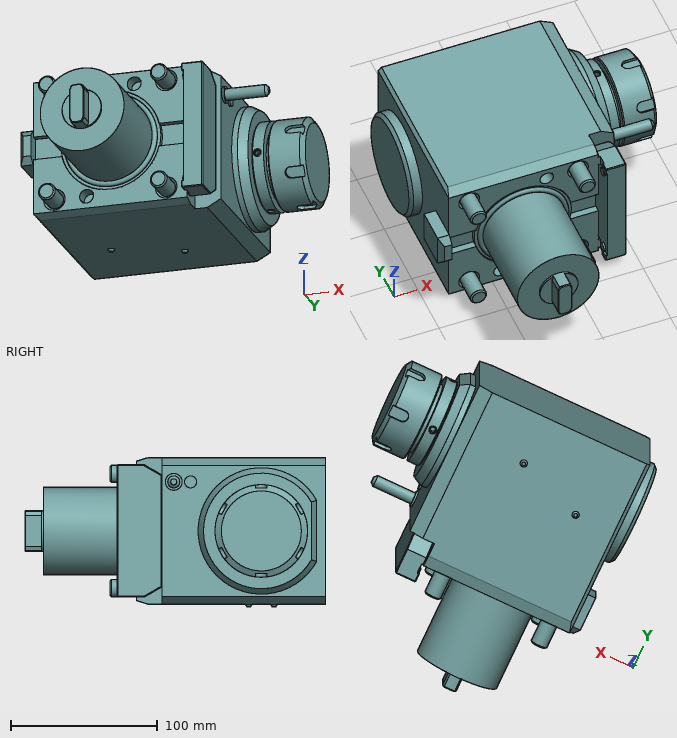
import cadquery as cq
import math


half_width = 55.0
right_face = 73.4
half_height = 50.0
back_face = 129.0
left_bevel = 2.5
front_bevel_height = 2.5
front_bevel_length = 8.0
right_bevel_height = 5.3
right_bevel_length = 9.6
notch_depth = 17.5
slot_width = 16.5
slot_depth = 5.0

shank_radius = 30.0
shank_end = 63.3
seat_radius = 35.7
seat_recess = 1.5
seal_center_radius = 31.5
seal_tube_radius = 1.8
seal_height = 1.2
tang_radius = 14.0
tang_disc_height = 1.5
tang_end = 76.0
tang_half_width = 5.1
tang_tip_half_width = 3.7
tang_flat_half_length = 10.5
tang_edge = 0.6

screw_offset_x = 40.0
screw_offset_z = 39.0
screw_radius = 6.0
screw_length = 18.0
screw_bevel = 1.0
screw_hole_radius = 7.5
countersink_depth = 1.6
dowel_hole_offset_x = 17.0
dowel_hole_radius = 5.0
dowel_hole_depth = 10.2

spindle_y = 85.0
cover_radius = 37.1
cover_thickness = 9.0
cover_bevel = 2.5
key_thickness = 8.6
key_half_height = 12.3
key_back = 23.5
key_shoulder = 1.0
key_nose_length = 5.0
key_nose_bevel_x = 3.0
key_nose_bevel_z = 5.0

plate_right = 70.1
plate_front = 13.1
plate_half_height = 45.0
plate_slope_start = 5.3
plate_slope_angle = 30
plate_edge = 0.6
plate_relief = 1.5
plate_ear_height = 5.0
plate_ear_length = 6.2
plate_stud_y = -7.0
plate_stud_z = 37.3
plate_stud_radius = 3.0

pin_y = 25.5
pin_z = 33.5
pin_radius = 4.0
pin_end = 105.4
pin_bevel = 2.0
pin_base_radius = 5.7
pin_base_height = 1.5
cap_y = 37.0
cap_radius = 4.0

plug_offset_x = 23.5
plug_offset_y = 8.6
plug_radius = 2.5
plug_tip_radius = 1.2
plug_height = 1.6

bearing_radius = 43.0
bearing_flat_offset = 37.7
bearing_end = 83.8
bearing_bevel_length = 6.4
bearing_bevel_radial = 3.7

nut_radius = 31.5
neck_radius = 25.5
spindle_collar_end = 92.5
nut_start = 95.3
nut_end = 121.0
nut_bevel_length = 2.9
nut_bevel_radial = 4.3
spindle_edge = 0.8
nut_slot_count = 6
nut_slot_width = 7.8
nut_slot_start = 106.5
nut_slot_floor = 29.1
spanner_hole_count = 4
spanner_hole_x = 88.0
spanner_hole_radius = 2.7
spanner_hole_inner_radius = 1.8
spanner_hole_step = 1.2
spanner_hole_depth = 6.2


def box(x_range, y_range, z_range):
    """Box between the given limits on each axis."""
    lows, highs = zip(x_range, y_range, z_range)
    sizes = [high - low for low, high in zip(lows, highs)]
    return cq.Workplane("XY").box(*sizes, centered=False).translate(lows)


def rod(start, direction, radius, length):
    """Cylinder from a start point along a direction."""
    solid = cq.Solid.makeCylinder(radius, length, cq.Vector(*start), cq.Vector(*direction))
    return cq.Workplane(obj=solid)


def cone(start, direction, start_radius, end_radius, length):
    """Truncated cone from a start point along a direction."""
    solid = cq.Solid.makeCone(start_radius, end_radius, length, cq.Vector(*start), cq.Vector(*direction))
    return cq.Workplane(obj=solid)


def mirrored_in_z(half_shape):
    """The shape together with its mirror image across the XY plane."""
    return half_shape.union(half_shape.mirror("XY"))


def make_block():
    """Housing block with bevelled edges, the corner notch and the cross slot."""
    left = -half_width
    top_outline = [
        (left, half_height - left_bevel),
        (left + left_bevel, half_height),
        (right_face - right_bevel_length, half_height),
        (right_face, half_height - right_bevel_height),
    ]
    bottom_outline = [(x, -z) for x, z in reversed(top_outline)]
    block = cq.Workplane("XZ").polyline(top_outline + bottom_outline).close().extrude(-back_face)

    front_wedge = (
        cq.Workplane("YZ")
        .polyline([
            (0, half_height - front_bevel_height),
            (0, half_height),
            (front_bevel_length, half_height),
        ])
        .close()
        .extrude(half_width, both=True)
    )
    notch = box((half_width, right_face), (0, notch_depth), (-half_height, half_height))
    slot = box((left, half_width), (0, slot_depth), (-slot_width / 2, slot_width / 2))
    return block.cut(mirrored_in_z(front_wedge)).cut(notch).cut(slot)


def make_shank():
    """Shank with its seat, sealing ring, end disc and drive tang."""
    forward = (0, -1, 0)
    shank = rod((0, slot_depth, 0), forward, shank_radius, shank_end + slot_depth)
    seat = rod((0, slot_depth, 0), forward, seat_radius, slot_depth - seat_recess)
    seal_center = cq.Vector(0, seal_tube_radius - seal_height, 0)
    seal = cq.Workplane(
        obj=cq.Solid.makeTorus(seal_center_radius, seal_tube_radius, seal_center, cq.Vector(*forward))
    )
    disc = rod((0, -shank_end, 0), forward, tang_radius, tang_disc_height)

    tang_outline = [
        (tang_half_width, tang_flat_half_length),
        (tang_tip_half_width, tang_radius),
        (-tang_tip_half_width, tang_radius),
        (-tang_half_width, tang_flat_half_length),
    ]
    tang_outline += [(-x, -z) for x, z in tang_outline]
    tang = cq.Workplane("XZ", origin=(0, -shank_end, 0)).polyline(tang_outline).close()
    tang = tang.extrude(tang_end - shank_end)
    tang = tang.intersect(rod((0, -shank_end, 0), forward, tang_radius, tang_end - shank_end))
    tang = tang.faces("<Y").chamfer(tang_edge)
    return shank.union(seat).union(seal).union(disc).union(tang)


def make_seat_bore():
    """Bore in the front face that receives the shank seat."""
    return rod((0, 0, 0), (0, 1, 0), seat_radius, slot_depth)


def make_screw(x, z):
    """Front screw standing out of the housing."""
    screw = rod((x, countersink_depth, z), (0, -1, 0), screw_radius, screw_length + countersink_depth)
    return screw.faces("<Y").chamfer(screw_bevel)


def make_left_cover():
    """Round cover on the left face."""
    cover = rod((-half_width, spindle_y, 0), (-1, 0, 0), cover_radius, cover_thickness)
    return cover.faces("<X").chamfer(cover_bevel)


def make_key():
    """Key on the left face with a nose tapering on three sides."""
    left = -half_width - key_thickness
    body = box((left, -half_width), (-key_shoulder, key_back), (-key_half_height, key_half_height))
    tip_left = left + key_nose_bevel_x
    tip_half_height = key_half_height - key_nose_bevel_z
    nose = (
        cq.Workplane("XZ", origin=(0, -key_shoulder, 0))
        .center((left - half_width) / 2, 0)
        .rect(key_thickness, 2 * key_half_height)
        .workplane(offset=key_nose_length)
        .center((tip_left - left) / 2, 0)
        .rect(-half_width - tip_left, 2 * tip_half_height)
        .loft(ruled=True)
    )
    return body.union(nose)


def make_clamp_plate():
    """Upright plate in the notch, sloping towards the housing, with ears and studs on its left face."""
    slope_drop = (notch_depth - plate_slope_start) * math.tan(math.radians(plate_slope_angle))
    upper_outline = [
        (-plate_front, plate_half_height),
        (plate_slope_start, plate_half_height),
        (notch_depth, plate_half_height - slope_drop),
    ]
    lower_outline = [(y, -z) for y, z in reversed(upper_outline)]
    plate = (
        cq.Workplane("YZ", origin=(half_width, 0, 0))
        .polyline(upper_outline + lower_outline)
        .close()
        .extrude(plate_right - half_width)
    )
    plate = plate.faces("<X or >X or <Y or >Y").edges().chamfer(plate_edge)
    relief_x = (half_width, half_width + plate_relief)
    ear_inner_z = plate_half_height - plate_ear_height
    relief_beside_ears = box(relief_x, (plate_ear_length - plate_front, 0), (-half_height, half_height))
    relief_between_ears = box(relief_x, (-plate_front, 0), (-ear_inner_z, ear_inner_z))
    back_relief = box(relief_x, (0, notch_depth), (-plate_stud_z, plate_stud_z))
    plate = plate.cut(relief_beside_ears).cut(relief_between_ears).cut(back_relief)
    stud_start = (half_width, plate_stud_y, plate_stud_z)
    return plate.union(mirrored_in_z(rod(stud_start, (1, 0, 0), plate_stud_radius, plate_relief)))


def make_pin_and_cap():
    """Coolant pin with its base, and the small cap beside it."""
    outward = (1, 0, 0)
    pin = rod((right_face, pin_y, pin_z), outward, pin_radius, pin_end - right_face)
    pin = pin.faces(">X").chamfer(pin_bevel)
    base = rod((right_face, pin_y, pin_z), outward, pin_base_radius, pin_base_height)
    cap = rod((right_face, cap_y, pin_z), outward, cap_radius, pin_base_height)
    return pin.union(base).union(cap)


def make_bearing_cover():
    """Round cover around the spindle, cut flat at the back and bevelled."""
    length = bearing_end - right_face
    cover = rod((right_face, spindle_y, 0), (1, 0, 0), bearing_radius, length)
    flat_y = spindle_y + bearing_flat_offset
    beyond_flat = box(
        (right_face, bearing_end),
        (flat_y, spindle_y + bearing_radius),
        (-bearing_radius, bearing_radius),
    )
    cover = cover.cut(beyond_flat)
    return cover.faces(">X").chamfer(bearing_bevel_length, bearing_bevel_radial)


def make_housing():
    """Housing with everything that is fixed to it."""
    housing = make_block().cut(make_seat_bore())

    for side in (-1, 1):
        dowel_start = (side * dowel_hole_offset_x, 0, side * screw_offset_z)
        housing = housing.cut(rod(dowel_start, (0, 1, 0), dowel_hole_radius, dowel_hole_depth))

        plug_start = (side * plug_offset_x, spindle_y + side * plug_offset_y, -half_height)
        housing = housing.union(cone(plug_start, (0, 0, -1), plug_radius, plug_tip_radius, plug_height))

    for x in (-screw_offset_x, screw_offset_x):
        for z in (-screw_offset_z, screw_offset_z):
            countersink = cone((x, 0, z), (0, 1, 0), screw_hole_radius, screw_radius, countersink_depth)
            housing = housing.cut(countersink).union(make_screw(x, z))

    attached = [
        make_shank(),
        make_left_cover(),
        make_key(),
        make_clamp_plate(),
        make_pin_and_cap(),
        make_bearing_cover(),
    ]
    for shape in attached:
        housing = housing.union(shape)
    return housing


def make_spindle():
    """Spindle collar, neck and slotted collet nut, seated on the bearing cover."""
    outline = [
        (bearing_end, 0),
        (bearing_end, nut_radius - spindle_edge),
        (bearing_end + spindle_edge, nut_radius),
        (spindle_collar_end, nut_radius),
        (spindle_collar_end, neck_radius),
        (nut_start, neck_radius),
        (nut_start, nut_radius - spindle_edge),
        (nut_start + spindle_edge, nut_radius),
        (nut_end - nut_bevel_length, nut_radius),
        (nut_end, nut_radius - nut_bevel_radial),
        (nut_end, 0),
    ]
    spindle = cq.Workplane("XY").polyline(outline).close().revolve(360, (0, 0, 0), (1, 0, 0))

    slot_end_radius = nut_slot_width / 2
    slot_height = nut_radius - nut_slot_floor
    slot_center_x = nut_slot_start + slot_end_radius
    wrench_slot = rod((slot_center_x, 0, nut_slot_floor), (0, 0, 1), slot_end_radius, slot_height)
    wrench_slot = wrench_slot.union(box(
        (slot_center_x, nut_end),
        (-slot_end_radius, slot_end_radius),
        (nut_slot_floor, nut_radius),
    ))
    for i in range(nut_slot_count):
        spindle = spindle.cut(wrench_slot.rotate((0, 0, 0), (1, 0, 0), i * 360 / nut_slot_count))

    inward = (0, 0, -1)
    spanner_hole = rod((spanner_hole_x, 0, nut_radius), inward, spanner_hole_radius, spanner_hole_step)
    spanner_hole = spanner_hole.union(
        rod((spanner_hole_x, 0, nut_radius), inward, spanner_hole_inner_radius, spanner_hole_depth)
    )
    for i in range(spanner_hole_count):
        spindle = spindle.cut(spanner_hole.rotate((0, 0, 0), (1, 0, 0), i * 360 / spanner_hole_count))
    return spindle.translate((0, spindle_y, 0))


housing = make_housing()
spindle = make_spindle()

result = cq.Compound.makeCompound([housing.val(), spindle.val()])